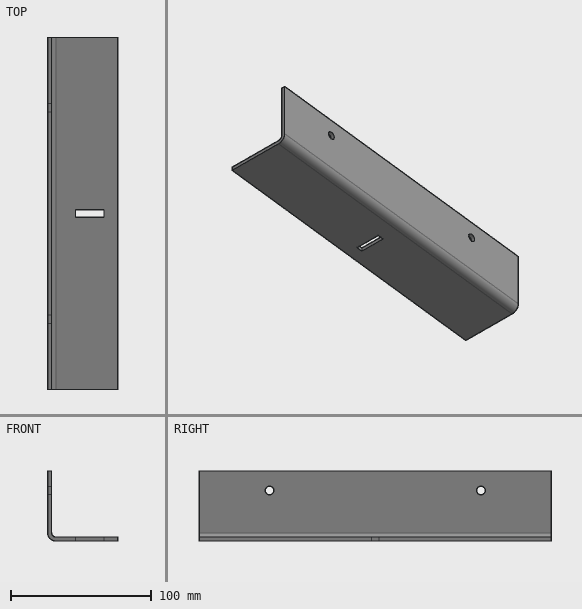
import cadquery as cq

length = 250.0
leg = 50.0
thickness = 3.0
inner_radius = 3.0
outer_radius = inner_radius + thickness

hole_diameter = 6.0
hole_height = 36.0
hole_spacing = 150.0

slot_length = 20.0
slot_width = 5.0
slot_center_x = 30.0


def angle_profile():
    """L-shaped bar with a rounded bend, in the XZ plane."""
    outline = cq.Workplane("XZ").polyline([
        (0, 0),
        (leg, 0),
        (leg, thickness),
        (thickness, thickness),
        (thickness, leg),
        (0, leg),
    ]).close()
    bar = outline.extrude(length / 2, both=True)
    outer_edge = cq.selectors.NearestToPointSelector((0, 0, 0))
    inner_edge = cq.selectors.NearestToPointSelector((thickness, 0, thickness))
    bar = bar.edges("|Y").edges(outer_edge).fillet(outer_radius)
    return bar.edges("|Y").edges(inner_edge).fillet(inner_radius)


def upright_holes():
    return (
        cq.Workplane("YZ")
        .pushPoints([(side * hole_spacing / 2, hole_height) for side in (-1, 1)])
        .circle(hole_diameter / 2)
        .extrude(thickness)
    )


def base_slot():
    return (
        cq.Workplane("XY")
        .center(slot_center_x, 0)
        .rect(slot_length, slot_width)
        .extrude(thickness)
    )


result = angle_profile().cut(upright_holes()).cut(base_slot())